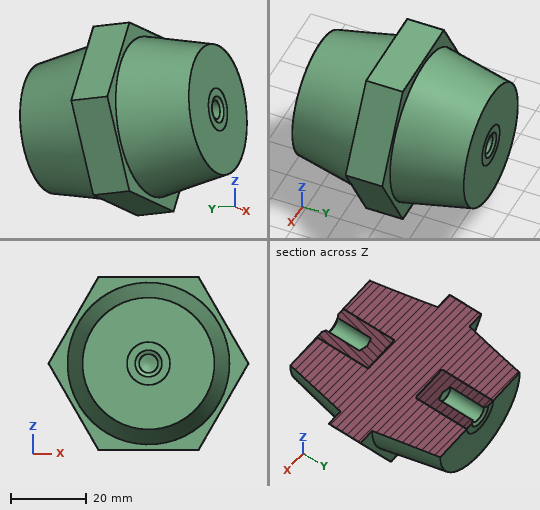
import cadquery as cq
import math

length = 50.0
hex_corners = 53.1
collar_width = 10.7
boss_root_diameter = 43.05
boss_end_diameter = 35.0

insert_diameter = 11.4
insert_depth = 17.0
bore_diameter = 5.0
bore_depth = 11.7
countersink_diameter = 7.1
countersink_angle = 120.0
drill_point_angle = 150.0

half_length = length / 2
half_collar = collar_width / 2
END_SIDES = (-1, 1)


def cone_height(large_diameter, small_diameter, included_angle):
    """Axial length over which a cone narrows from one diameter to the other."""
    return (large_diameter - small_diameter) / 2 / math.tan(math.radians(included_angle / 2))


def revolve_about_y(points):
    """Solid of revolution from a closed (radius, y) outline."""
    return cq.Workplane("XY").polyline(points).close().revolve(360, (0, 0, 0), (0, 1, 0))


def place_on_side(solid, side):
    """Leave a -Y end solid in place, or mirror it to the +Y end."""
    return solid if side < 0 else solid.mirror("XZ")


def make_insert_seat():
    """Cylinder filled by the insert at the -Y end."""
    return revolve_about_y([
        (0, -half_length),
        (insert_diameter / 2, -half_length),
        (insert_diameter / 2, insert_depth - half_length),
        (0, insert_depth - half_length),
    ])


def make_insulator():
    """Hexagonal collar and two tapered bosses, with a seat for each insert."""
    collar = cq.Workplane("XZ").polygon(6, hex_corners).extrude(half_collar, both=True)
    bosses = revolve_about_y([
        (0, -half_length),
        (boss_end_diameter / 2, -half_length),
        (boss_root_diameter / 2, -half_collar),
        (boss_root_diameter / 2, half_collar),
        (boss_end_diameter / 2, half_length),
        (0, half_length),
    ])
    insulator = collar.union(bosses)
    for side in END_SIDES:
        insulator = insulator.cut(place_on_side(make_insert_seat(), side))
    return insulator


def make_insert(side):
    """Round insert with a countersunk blind bore ending in a drill point."""
    countersink_end = cone_height(countersink_diameter, bore_diameter, countersink_angle) - half_length
    bore_end = bore_depth - half_length
    drill_tip = bore_end + cone_height(bore_diameter, 0, drill_point_angle)
    bore = revolve_about_y([
        (0, -half_length),
        (countersink_diameter / 2, -half_length),
        (bore_diameter / 2, countersink_end),
        (bore_diameter / 2, bore_end),
        (0, drill_tip),
    ])
    return place_on_side(make_insert_seat().cut(bore), side)


insulator = make_insulator()
inserts = [make_insert(side) for side in END_SIDES]

result = cq.Compound.makeCompound([insulator.val(), *[insert.val() for insert in inserts]])